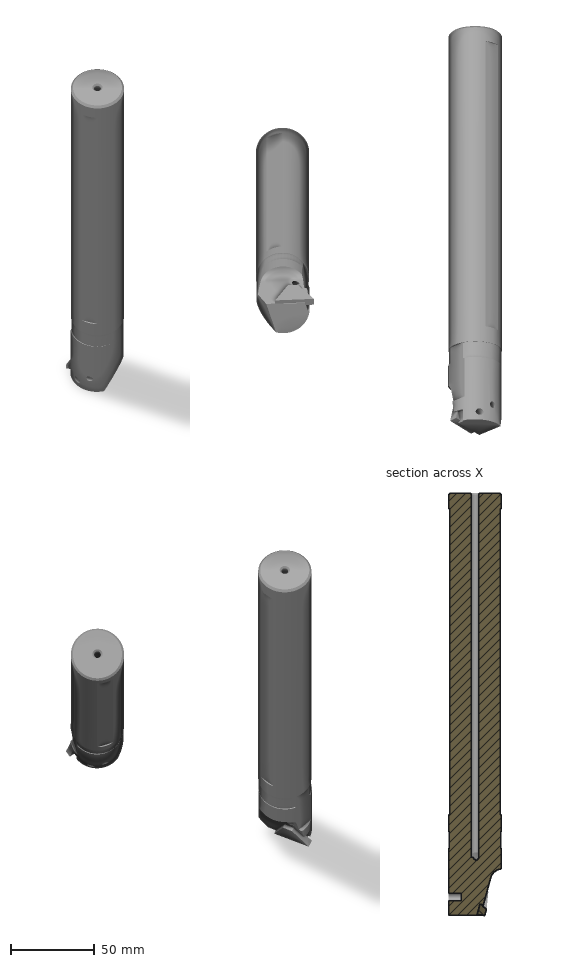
import cadquery as cq
import math

LENGTH = 254.2
HEAD_BOTTOM = 0.5
SHANK_RADIUS = 16.0
TOP_CHAMFER = 1.3

HEAD_OFFSET = 0.33
CROSSING_X = 14.5
COLLAR_RADIUS = math.sqrt(SHANK_RADIUS**2 - HEAD_OFFSET**2 - 2 * HEAD_OFFSET * CROSSING_X)
COLLAR_BOTTOM = 40.7
COLLAR_TOP = 50.8

CLAMP_FLAT_WIDTH = 10.2
CLAMP_FLAT_OFFSET = math.sqrt(SHANK_RADIUS**2 - (CLAMP_FLAT_WIDTH / 2) ** 2)
CLAMP_FLAT_BOTTOM = 61.0
CLAMP_FLAT_TOP = 244.5

HEAD_FLAT_WIDTH = 11.5
HEAD_FLAT_OFFSET = math.sqrt(COLLAR_RADIUS**2 - (HEAD_FLAT_WIDTH / 2) ** 2)
HEAD_FLAT_BOTTOM = 15.8
HEAD_FLAT_RUNOUT = 1.0

BEVEL_HEIGHT = 18.0
BEVEL_BOTTOM_X = 8.5

COOLANT_RADIUS = 2.0
COOLANT_CHAMFER = 1.0
COOLANT_BORE_BOTTOM = 35.5
COOLANT_OUTLET = (-10.7, 5.5, 18.8)

SIDE_HOLE_RADIUS = 2.0
SIDE_HOLE_DEPTH = 7.5
SIDE_HOLE_CENTERS = [(0.0, 11.5), (-8.5, 5.5)]

FLOOR_HEIGHT = 3.3
RAKE_HEIGHT = 5.8
SLOPE_X = 0.3
SLOPE_Z = 0.27
POCKET_STRAIGHT = 24.0
POCKET_RUNOUT_RADIUS = 6.9

INSERT_TIP = (-19.8, 0.8)
INSERT_HEEL = (2.5, 0.0)
INSERT_TOP_Z = 14.7
INSERT_ANGLE = math.radians(60)
INSERT_THICKNESS = 4.3

TIP_RECESS_TOP_Z = 7.5
TIP_RECESS_WALL_X = -14.0
TIP_RECESS_WALL_Y = -6.0

REACH = 50.8


def tilted_plane(height):
    """Plane parallel to the rake face; its normal points into the bar, toward -Y."""
    return cq.Plane(origin=(0, height, 0), xDir=(1, SLOPE_X, 0), normal=(SLOPE_X, -1, SLOPE_Z))


floor_plane = tilted_plane(FLOOR_HEIGHT)
pocket_profile_plane = cq.Plane(
    origin=floor_plane.origin,
    xDir=floor_plane.yDir,
    normal=-floor_plane.xDir,
)
rake_plane = tilted_plane(RAKE_HEIGHT)


def cylinder(radius, bottom, top, x=0.0):
    return cq.Workplane("XY", origin=(x, 0, bottom)).circle(radius).extrude(top - bottom)


def make_blank():
    """Chamfered shank, collar and slightly off-center head, with a core running down the head."""
    shank = cylinder(SHANK_RADIUS, COLLAR_TOP, LENGTH).faces(">Z").chamfer(TOP_CHAMFER)
    core = cylinder(COLLAR_RADIUS, HEAD_BOTTOM, COLLAR_TOP)
    head = cylinder(SHANK_RADIUS, HEAD_BOTTOM, COLLAR_BOTTOM, -HEAD_OFFSET)
    return shank.union(core).union(head)


def clamp_flat(side):
    """Cutter for the long clamping flat on the +Y (side = 1) or -Y (side = -1) face."""
    height = CLAMP_FLAT_TOP - CLAMP_FLAT_BOTTOM
    center_y = side * (CLAMP_FLAT_OFFSET + SHANK_RADIUS / 2)
    return (
        cq.Workplane("XY", origin=(0, center_y, CLAMP_FLAT_BOTTOM))
        .box(2 * SHANK_RADIUS, SHANK_RADIUS, height, centered=(True, True, False))
    )


def head_flat():
    """Cutter for the -X flat below the shank, ending in a short ramp."""
    rim_x = -(SHANK_RADIUS + HEAD_OFFSET)
    return (
        cq.Workplane("XZ")
        .moveTo(-HEAD_FLAT_OFFSET, COLLAR_TOP)
        .lineTo(-HEAD_FLAT_OFFSET, HEAD_FLAT_BOTTOM)
        .lineTo(rim_x, HEAD_FLAT_BOTTOM - HEAD_FLAT_RUNOUT)
        .lineTo(rim_x, COLLAR_TOP)
        .close()
        .extrude(REACH, both=True)
    )


def corner_bevel():
    """Cutter for the slanted +X corner of the cutting end."""
    return (
        cq.Workplane("XZ")
        .moveTo(BEVEL_BOTTOM_X, HEAD_BOTTOM)
        .lineTo(SHANK_RADIUS, HEAD_BOTTOM)
        .lineTo(SHANK_RADIUS, BEVEL_HEIGHT)
        .close()
        .extrude(REACH, both=True)
    )


def chip_pocket():
    """Cutter above the tilted pocket floor, rounded where it runs out of the head."""
    r = POCKET_RUNOUT_RADIUS
    arc_mid = (POCKET_STRAIGHT + r * math.sin(math.pi / 4), r - r * math.cos(math.pi / 4))
    return (
        cq.Workplane(pocket_profile_plane)
        .moveTo(-REACH, 0)
        .lineTo(POCKET_STRAIGHT, 0)
        .threePointArc(arc_mid, (POCKET_STRAIGHT + r, r))
        .lineTo(POCKET_STRAIGHT + r, REACH)
        .lineTo(-REACH, REACH)
        .close()
        .extrude(REACH, both=True)
    )


def tip_flank_x(z):
    """X of the insert's tip-side flank at a height on the rake face."""
    return INSERT_TIP[0] + (z - INSERT_TIP[1]) / math.tan(INSERT_ANGLE)


def heel_flank_x(z):
    """X of the insert's heel-side flank at a height on the rake face."""
    return INSERT_HEEL[0] - (z - INSERT_HEEL[1]) / math.tan(INSERT_ANGLE)


def make_insert():
    """Insert body, square to its rake face."""
    corners = [
        INSERT_TIP,
        INSERT_HEEL,
        (heel_flank_x(INSERT_TOP_Z), INSERT_TOP_Z),
        (tip_flank_x(INSERT_TOP_Z), INSERT_TOP_Z),
    ]
    outline = []
    for x, z in corners:
        corner = cq.Vector(x, RAKE_HEIGHT + SLOPE_X * x + SLOPE_Z * z, z)
        local = rake_plane.toLocalCoords(corner)
        outline.append((local.x, local.y))
    return cq.Workplane(rake_plane).polyline(outline).close().extrude(INSERT_THICKNESS)


def tip_recess():
    """Cutter that opens the -X side of the bar next to the cutting tip."""
    return (
        cq.Workplane("XY")
        .moveTo(TIP_RECESS_WALL_X, TIP_RECESS_WALL_Y)
        .rect(-REACH, REACH, centered=False)
        .extrude(TIP_RECESS_TOP_Z)
    )


def coolant_passage():
    """Axial bore from the top face, then a slanted branch to the chip pocket."""
    bore = cylinder(COOLANT_RADIUS, COOLANT_BORE_BOTTOM, LENGTH)
    mouth = cq.Workplane(
        cq.Solid.makeCone(
            COOLANT_RADIUS,
            COOLANT_RADIUS + COOLANT_CHAMFER,
            COOLANT_CHAMFER,
            cq.Vector(0, 0, LENGTH - COOLANT_CHAMFER),
        )
    )
    start = cq.Vector(0, 0, COOLANT_BORE_BOTTOM + COOLANT_RADIUS)
    branch = cq.Vector(*COOLANT_OUTLET) - start
    branch_bore = cq.Workplane(
        cq.Solid.makeCylinder(COOLANT_RADIUS, branch.Length, start, branch)
    )
    return bore.union(mouth).union(branch_bore)


def side_hole(x, z):
    """Blind hole along Y in the -Y side of the head, measured from the rim at its center."""
    rim_y = -math.sqrt(SHANK_RADIUS**2 - (x + HEAD_OFFSET) ** 2)
    return (
        cq.Workplane("XZ", origin=(x, rim_y + SIDE_HOLE_DEPTH, z))
        .circle(SIDE_HOLE_RADIUS)
        .extrude(REACH)
    )


def make_bar():
    bar = make_blank()
    for side in (1, -1):
        bar = bar.cut(clamp_flat(side))
    cutters = [
        head_flat(),
        corner_bevel(),
        chip_pocket(),
        make_insert(),
        tip_recess(),
        coolant_passage(),
    ]
    for cutter in cutters:
        bar = bar.cut(cutter)
    for x, z in SIDE_HOLE_CENTERS:
        bar = bar.cut(side_hole(x, z))
    return bar


boring_bar = make_bar()
insert = make_insert()

result = cq.Compound.makeCompound([boring_bar.solids().val(), insert.val()])